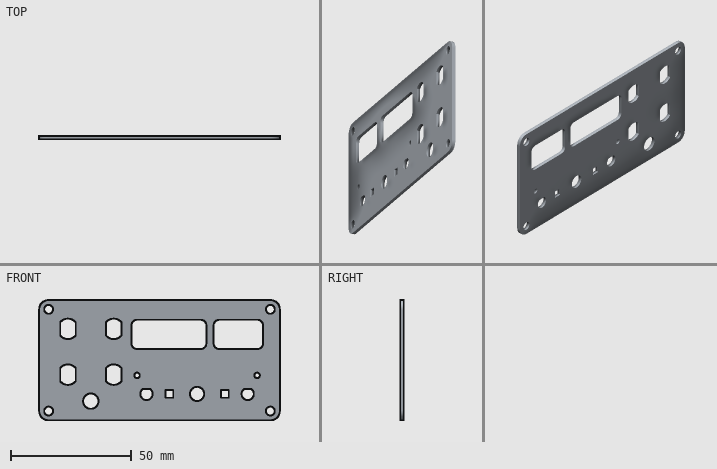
import cadquery as cq

length = 100.0
height = 50.0
thickness = 1.5
corner_radius = 4.0

mount_diameter = 3.6
mount_inset = 4.0
mount_x = length / 2 - mount_inset
mount_z = 21.1

button_diameter = 8.4
button_width = 6.3
button_pitch = 19.0
button_left_x = -38.0
button_top_z = 13.0
round_diameter = 6.3
round_x = button_left_x + button_pitch / 2
round_z = -17.0

window_height = 12.0
window_z = 10.7
window_radius = 2.2
wide_window_length = 31.0
wide_window_x = 3.9
narrow_window_length = 20.4
narrow_window_x = 32.7

row_x = 15.6
row_z = -14.0
centre_diameter = 5.8
square_side = 3.1
square_offset = 11.5
flat_hole_diameter = 5.0
flat_hole_top = 2.0
flat_hole_offset = 21.0
pin_diameter = 2.2
pin_offset = 24.9
pin_z = -6.3


def prism(x, z, width, depth):
    """Rectangular block through the plate thickness, centred at (x, z)."""
    return cq.Workplane("XY").box(width, thickness, depth).translate((x, 0, z))


def cylinder(x, z, diameter):
    """Cylinder through the plate thickness, centred at (x, z)."""
    disc = cq.Workplane("XZ").circle(diameter / 2).extrude(thickness / 2, both=True)
    return disc.translate((x, 0, z))


def rounded_prism(x, z, width, depth, radius):
    return prism(x, z, width, depth).edges("|Y").fillet(radius)


def button_hole(x, z):
    """Round hole with a vertical flat on each side."""
    sides = prism(x, z, button_width, button_diameter)
    return cylinder(x, z, button_diameter).intersect(sides)


def flat_top_hole(x, z):
    """Round hole cut off by a horizontal flat above its centre."""
    below_flat_height = flat_hole_diameter / 2 + flat_hole_top
    below_flat_z = z + flat_hole_top - below_flat_height / 2
    below_flat = prism(x, below_flat_z, flat_hole_diameter, below_flat_height)
    return cylinder(x, z, flat_hole_diameter).intersect(below_flat)


result = rounded_prism(0, 0, length, height, corner_radius)

for x in (-mount_x, mount_x):
    for z in (-mount_z, mount_z):
        result = result.cut(cylinder(x, z, mount_diameter))

for x in (button_left_x, button_left_x + button_pitch):
    for z in (button_top_z, button_top_z - button_pitch):
        result = result.cut(button_hole(x, z))
result = result.cut(cylinder(round_x, round_z, round_diameter))

for x, width in ((wide_window_x, wide_window_length), (narrow_window_x, narrow_window_length)):
    result = result.cut(rounded_prism(x, window_z, width, window_height, window_radius))

result = result.cut(cylinder(row_x, row_z, centre_diameter))
for side in (-1, 1):
    result = result.cut(prism(row_x + side * square_offset, row_z, square_side, square_side))
    result = result.cut(flat_top_hole(row_x + side * flat_hole_offset, row_z))
    result = result.cut(cylinder(row_x + side * pin_offset, pin_z, pin_diameter))